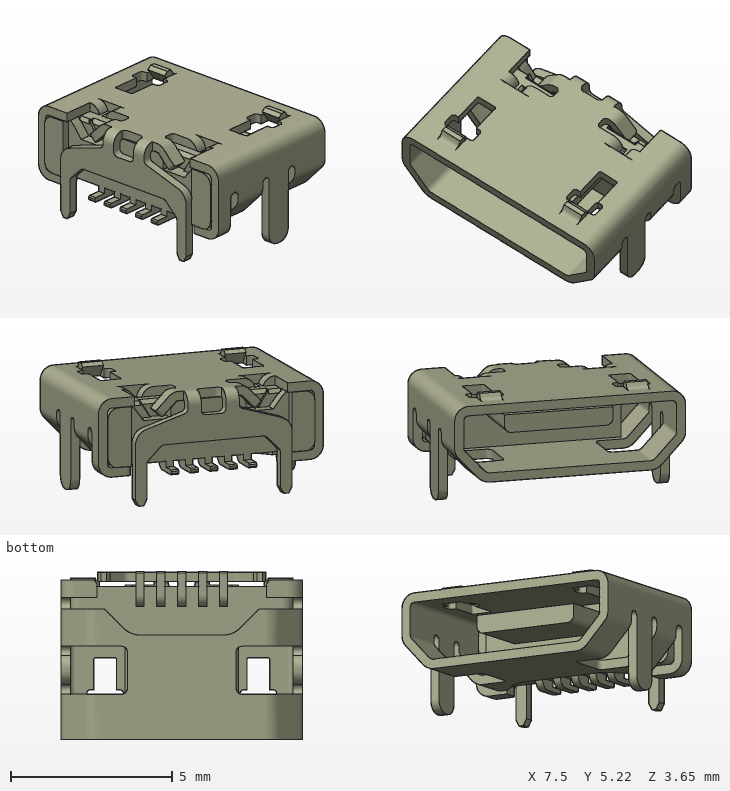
import cadquery as cq
import math


sheet = 0.3
shell_half_width = 3.75
shell_length = 4.96
shell_top = 3.45
bend_radius = 0.45
body_bottom = 0.975
slant_side_z = 1.94
slant_bottom_x = 2.83
slant_bottom_radius = 0.54
rear_band_bottom = 0.945
rear_band_length = 0.555
rear_band_gap_half = 2.63
rear_band_end_radius = 0.165
inner_half_width = shell_half_width - sheet
inner_top = shell_top - sheet

slot_top = 2.4
rear_slot_end = 0.91
leg_opening_start = 2.06
leg_opening_end = 3.55
leg_opening_inner_x = 1.69
leg_opening_top = 2.21
leg_opening_radius = 0.18
side_leg_start = 2.355
side_leg_end = 3.25
side_leg_tip_radius = 0.39

notch_half_width = 2.4
notch_floor_half_width = 1.59
bottom_notch_radius = 0.75

latch_x = 2.38
latch_width = 0.7
window_start = 2.42
window_wide_start = 3.42
window_wide_end = 3.9
window_wide_width = 1.125
window_radius = 0.1
window_stem_radius = 0.045
latch_hinge_y = 4.49
lip_angle = math.radians(53)
lip_bend_radius = 0.22
lip_root_y = 4.245
lip_crest_y = 4.08
lip_tip_y = 3.945
lip_tip_z = 3.55
part_top = 3.65

cutout_outer_x = 2.56
flap_window_inner_x = 1.49
flap_window_end = 1.46
flap_window_start = 1.065
flap_radius = 0.41
spring_slot_start = 0.66
spring_slot_inner_x = 0.885
spring_slot_radius = 0.11
top_plate_rear = 0.16
spring_hinge_x = 1.04
spring_bend_radius = 0.41
spring_drop = 0.44
spring_corner_radius = 0.09

cover_rear = -0.24
bridge_outer_x = 0.855
bridge_inner_x = 0.41
cover_bend_radius = top_plate_rear - cover_rear
cover_bend_bottom = shell_top - cover_bend_radius
cover_slot_bottom = 2.73
top_notch_end = 0.27
notch_corner_radius = 0.165
cover_half_width = 2.61
cover_leg_inner_x = 2.23
cover_shoulder_x = bridge_outer_x
cover_shoulder_z = 2.86
cover_corner_z = 2.32
cover_shoulder_radius = 0.165
cover_corner_radius = 0.49
cover_arch_spring_z = 1.39
cover_arch_z = 1.89
cover_arch_half_width = cover_leg_inner_x - (cover_arch_z - cover_arch_spring_z)
cover_arch_radius = 0.225
cover_leg_tip_half = 0.08
cover_leg_taper = 0.2

housing_bottom = rear_band_bottom + sheet
housing_rear = 0.2
housing_front = 1.8
housing_core_half = 2.625
housing_radius = 0.33
pad_rear = -0.05
pad_inner_x = 2.68
tongue_half_width = 1.76
tongue_bottom = 2.2
tongue_top = 2.775
tongue_end = 3.75
tongue_radius = 0.225
recess_floor = 2.61
recess_end = 0.56
recess_deep_end = 0.66
bevel_bottom = 3.015
recess_outer_x = 2.61
recess_lip_x = 2.45
recess_lip_z = inner_top - (recess_outer_x - recess_lip_x)
recess_floor_outer_x = 2.15
recess_deep_outer_x = 2.14
recess_deep_floor_x = 1.79
recess_inner_x = 1.25
recess_inner_bevel = 0.21
flap_groove_outer_x = 2.055
flap_groove_floor_x = 1.965
flap_groove_inner_x = 1.875
flap_embed = 0.075
bevel_end = 0.64
bevel_deep_end = 0.77

contact_count = 5
contact_row = 2.595
contact_pitch = contact_row / (contact_count - 1)
contact_width = 0.255
contact_bottom = 0.91
contact_tail_top = 1.065
contact_tip_y = -0.26
contact_tip_chamfer = 0.045
contact_front_y = 0.83
contact_bend_radius = 0.33

overshoot = 0.075
pick_reach = 0.01
pick_length = 7.5


def block(x_range, y_range, z_range):
    """Axis-aligned box given by its limits."""
    limits = (x_range, y_range, z_range)
    size = [high - low for low, high in limits]
    return cq.Workplane("XY").box(*size, centered=False).translate([low for low, high in limits])


def prism_along_x(points, x_start, x_end):
    """Prism with a (Y, Z) outline."""
    return cq.Workplane("YZ", origin=(x_start, 0, 0)).polyline(points).close().extrude(x_end - x_start)


def prism_along_y(points, y_start, y_end):
    """Prism with an (X, Z) outline."""
    return cq.Workplane("XZ", origin=(0, y_start, 0)).polyline(points).close().extrude(y_start - y_end)


def both_sides(solid):
    """The solid together with its mirror image across X = 0."""
    return solid.union(solid.mirror("YZ"))


def left_and_mirrored(points):
    """Closed symmetric outline from the points of its left half."""
    return points + [(-x, z) for x, z in reversed(points)]


def round_vertical_edge(solid, x, y, radius):
    """Round the edges parallel to Z that stand at (x, y)."""
    picker = cq.selectors.BoxSelector(
        (x - pick_reach, y - pick_reach, -pick_length), (x + pick_reach, y + pick_reach, pick_length)
    )
    return solid.edges("|Z").edges(picker).fillet(radius)


def round_profile_edges(solid, x, z, radius):
    """Round the mirrored pair of edges parallel to Y that run through (x, z) and (-x, z)."""
    for side in (x, -x):
        picker = cq.selectors.BoxSelector(
            (side - pick_reach, -pick_length, z - pick_reach),
            (side + pick_reach, pick_length, z + pick_reach),
        )
        solid = solid.edges("|Y").edges(picker).fillet(radius)
    return solid


def sheet_tube(left_corners, y_start, y_end):
    """Open-ended sheet-metal tube; the left corners are given as (X, Z, outer bend radius)."""
    left_points = [(x, z) for x, z, radius in left_corners]
    tube = prism_along_y(left_and_mirrored(left_points), y_start, y_end)
    for x, z, radius in left_corners:
        tube = round_profile_edges(tube, x, z, radius)
    return tube.faces("<Y or >Y").shell(-sheet)


def arched_slot(y_start, y_end):
    """Cutter for a round-topped slot through the left side wall and everything below it."""
    radius = (y_end - y_start) / 2
    x_range = (-shell_half_width - overshoot, -inner_half_width + overshoot)
    cutter = block(x_range, (y_start, y_end), (0, slot_top - radius))
    arch = (
        cq.Workplane("YZ", origin=(x_range[0], 0, 0))
        .center(y_start + radius, slot_top - radius)
        .circle(radius)
        .extrude(x_range[1] - x_range[0])
    )
    return cutter.union(arch)


def shell_body():
    """Tube with slanted lower corners, and a square-cornered band at the rear."""
    body = sheet_tube(
        [
            (-slant_bottom_x, body_bottom, slant_bottom_radius),
            (-shell_half_width, slant_side_z, bend_radius),
            (-shell_half_width, shell_top, bend_radius),
        ],
        rear_band_length,
        shell_length,
    )
    gap_to_floor = block(
        (-inner_half_width, inner_half_width), (rear_band_length, rear_slot_end), (0, slot_top)
    )
    body = body.cut(gap_to_floor)

    band = sheet_tube(
        [
            (-shell_half_width, rear_band_bottom, bend_radius),
            (-shell_half_width, shell_top, bend_radius),
        ],
        0,
        rear_band_length,
    )
    gap = block((-rear_band_gap_half, rear_band_gap_half), (0, rear_band_length), (0, housing_bottom))
    band = band.cut(gap)
    for side in (-rear_band_gap_half, rear_band_gap_half):
        band = round_vertical_edge(band, side, 0, rear_band_end_radius)
    return body.cut(both_sides(arched_slot(rear_band_length, rear_slot_end))).union(band)


def bottom_notch():
    """Cutter for the tapered notch in the rear edge of the bottom plate."""
    depth = notch_half_width - notch_floor_half_width
    floor_y = rear_slot_end + depth
    outline = [
        (-notch_half_width, rear_slot_end),
        (-notch_floor_half_width, floor_y),
        (notch_floor_half_width, floor_y),
        (notch_half_width, rear_slot_end),
    ]
    cutter = cq.Workplane("XY").polyline(outline).close().extrude(body_bottom + sheet)
    for side in (-notch_floor_half_width, notch_floor_half_width):
        cutter = round_vertical_edge(cutter, side, floor_y, bottom_notch_radius)
    return cutter


def side_leg_opening():
    """Cutter for the sheet area that the left side leg is folded from."""
    opening = block(
        (-shell_half_width - overshoot, -leg_opening_inner_x),
        (leg_opening_start, leg_opening_end),
        (0, leg_opening_top),
    )
    opening = opening.edges("|Z and >X").fillet(leg_opening_radius)
    for y_start, y_end in ((leg_opening_start, side_leg_start), (side_leg_end, leg_opening_end)):
        opening = opening.union(arched_slot(y_start, y_end))
    return opening


def side_leg():
    """Left through-hole leg, flush with the side wall."""
    leg = block(
        (-shell_half_width, -inner_half_width), (side_leg_start, side_leg_end), (0, slot_top)
    )
    return leg.edges("|X and <Z").fillet(side_leg_tip_radius)


def latch_window():
    """Cutter for the stepped window and lip slot in the left of the top plate."""
    heights = (inner_top - overshoot, shell_top + overshoot)
    stem = block(
        (-latch_x - latch_width / 2, -latch_x + latch_width / 2), (window_start, latch_hinge_y), heights
    )
    stem = stem.edges("|Z and <Y").fillet(window_stem_radius)
    head = block(
        (-latch_x - window_wide_width / 2, -latch_x + window_wide_width / 2),
        (window_wide_start, window_wide_end),
        heights,
    )
    return stem.union(head.edges("|Z").fillet(window_radius))


def latch_lip():
    """Lip bent upwards out of the left latch window."""
    lip_root_end = latch_hinge_y + overshoot

    def on_bend(angle):
        rise = lip_bend_radius * (1 - math.cos(angle))
        return (latch_hinge_y - lip_bend_radius * math.sin(angle), shell_top + rise)

    return (
        cq.Workplane("YZ", origin=(-latch_x - latch_width / 2, 0, 0))
        .moveTo(lip_root_end, shell_top)
        .lineTo(latch_hinge_y, shell_top)
        .threePointArc(on_bend(lip_angle / 2), on_bend(lip_angle))
        .lineTo(lip_root_y, part_top)
        .lineTo(lip_crest_y, part_top)
        .lineTo(lip_tip_y, lip_tip_z)
        .lineTo(lip_root_y, inner_top)
        .lineTo(lip_root_end, inner_top)
        .close()
        .extrude(latch_width)
    )


def rear_cutout():
    """Cutter for the left rear opening of the top plate, leaving room for the flaps and the spring."""
    heights = (inner_top, shell_top + overshoot)
    flap_window = block(
        (-cutout_outer_x, -flap_window_inner_x), (flap_window_start, flap_window_end), heights
    )
    spring_slot = block(
        (-cutout_outer_x, -spring_slot_inner_x), (spring_slot_start, flap_window_start), heights
    )
    spring_slot = spring_slot.edges("|Z and >X").fillet(spring_slot_radius)
    spring_bay = block((-cutout_outer_x, -spring_hinge_x), (0, spring_slot_start), heights)
    rear_strip = block((-cutout_outer_x, 0), (0, top_plate_rear), heights)
    return flap_window.union(spring_slot).union(spring_bay).union(rear_strip)


def curled_flaps():
    """Two flaps curling down from the X ends of the left flap window."""
    flaps = block(
        (-cutout_outer_x, -flap_window_inner_x),
        (flap_window_start, flap_window_end),
        (inner_top - flap_embed, shell_top),
    )
    rolls = cq.Workplane("XZ", origin=(0, flap_window_start, 0)).pushPoints(
        [(x, shell_top - flap_radius) for x in (-cutout_outer_x, -flap_window_inner_x)]
    )
    return flaps.intersect(rolls.circle(flap_radius).extrude(flap_window_start - flap_window_end))


def spring_tab():
    """Left spring tab: a 45 degree bend towards -X followed by a straight arm."""
    half_turn = math.radians(22.5)
    turn = 2 * half_turn
    inner_radius = spring_bend_radius - sheet
    center_z = shell_top - spring_bend_radius

    def on_bend(radius, angle):
        return (-spring_hinge_x - radius * math.sin(angle), center_z + radius * math.cos(angle))

    outer_x, outer_z = on_bend(spring_bend_radius, turn)
    inner_x, inner_z = on_bend(inner_radius, turn)
    tab = (
        cq.Workplane("XZ", origin=(0, top_plate_rear, 0))
        .moveTo(-spring_hinge_x, shell_top)
        .threePointArc(on_bend(spring_bend_radius, half_turn), (outer_x, outer_z))
        .lineTo(outer_x - spring_drop, outer_z - spring_drop)
        .lineTo(inner_x - spring_drop, inner_z - spring_drop)
        .lineTo(inner_x, inner_z)
        .threePointArc(on_bend(inner_radius, half_turn), (-spring_hinge_x, inner_top))
        .close()
        .extrude(top_plate_rear - spring_slot_start)
    )
    return tab.faces("<X").edges("not |Y").fillet(spring_corner_radius)


def top_notch():
    """Cutter for the shallow notch between the two bridges."""
    notch = block(
        (-bridge_inner_x, bridge_inner_x), (0, top_notch_end), (inner_top, shell_top + overshoot)
    )
    return notch.edges("|Z and >Y").fillet(notch_corner_radius)


def cover_bridge():
    """Left bridge: a quarter bend from the top plate down to the cover plate."""
    center_z = cover_bend_bottom
    half_turn = math.radians(45)
    inner_radius = cover_bend_radius - sheet

    def on_bend(radius):
        return (top_plate_rear - radius * math.sin(half_turn), center_z + radius * math.cos(half_turn))

    return (
        cq.Workplane("YZ", origin=(-bridge_outer_x, 0, 0))
        .moveTo(top_plate_rear, shell_top)
        .threePointArc(on_bend(cover_bend_radius), (cover_rear, center_z))
        .lineTo(cover_rear + sheet, center_z)
        .threePointArc(on_bend(inner_radius), (top_plate_rear, inner_top))
        .close()
        .extrude(bridge_outer_x - bridge_inner_x)
    )


def cover_plate():
    """Vertical rear plate with sloping shoulders, two pointed legs and an arch between them."""
    leg_center = (cover_half_width + cover_leg_inner_x) / 2
    outline = left_and_mirrored([
        (-cover_arch_half_width, cover_arch_z),
        (-cover_leg_inner_x, cover_arch_spring_z),
        (-cover_leg_inner_x, cover_leg_taper),
        (-leg_center + cover_leg_tip_half, 0),
        (-leg_center - cover_leg_tip_half, 0),
        (-cover_half_width, cover_leg_taper),
        (-cover_half_width, cover_corner_z),
        (-cover_shoulder_x, cover_shoulder_z),
        (-bridge_outer_x, cover_bend_bottom),
    ])
    plate = prism_along_y(outline, cover_rear, cover_rear + sheet)
    plate = round_profile_edges(plate, cover_half_width, cover_corner_z, cover_corner_radius)
    plate = round_profile_edges(plate, cover_shoulder_x, cover_shoulder_z, cover_shoulder_radius)
    plate = round_profile_edges(plate, cover_arch_half_width, cover_arch_z, cover_arch_radius)
    plate = round_profile_edges(plate, cover_leg_inner_x, cover_arch_spring_z, cover_arch_radius)
    slot = block(
        (-bridge_inner_x, bridge_inner_x),
        (cover_rear, cover_rear + sheet),
        (cover_slot_bottom, shell_top),
    )
    return plate.cut(slot.edges("|Y and <Z").fillet(notch_corner_radius))


def shell():
    """Complete folded shell."""
    body = shell_body()
    body = body.cut(bottom_notch())
    body = body.cut(top_notch())
    for cutter in (side_leg_opening(), latch_window(), rear_cutout()):
        body = body.cut(both_sides(cutter))
    for detail in (side_leg(), latch_lip(), curled_flaps(), spring_tab(), cover_bridge()):
        body = body.union(both_sides(detail))
    return body.union(cover_plate())


def spring_recess():
    """Cutter for the stepped, bevelled recess below the left spring tab."""
    right_side = [
        (-recess_inner_x, recess_floor),
        (-recess_inner_x, inner_top - recess_inner_bevel),
        (-recess_inner_x + recess_inner_bevel, inner_top),
    ]
    shallow = prism_along_y(
        [
            (-recess_outer_x, inner_top),
            (-recess_lip_x, recess_lip_z),
            (-recess_floor_outer_x, recess_floor),
        ] + right_side,
        housing_rear,
        recess_end,
    )
    deep = prism_along_y(
        [(-recess_deep_outer_x, inner_top), (-recess_deep_floor_x, recess_floor)] + right_side,
        housing_rear,
        recess_deep_end,
    )
    shallow_bevel = prism_along_x(
        [(recess_end, bevel_bottom), (bevel_end, inner_top), (recess_end, inner_top)],
        -cutout_outer_x,
        -recess_deep_outer_x,
    )
    deep_bevel = prism_along_x(
        [(recess_deep_end, bevel_bottom), (bevel_deep_end, inner_top), (recess_deep_end, inner_top)],
        -recess_deep_outer_x,
        -spring_hinge_x,
    )
    return shallow.union(deep).union(shallow_bevel).union(deep_bevel)


def flap_groove():
    """Cutter for the groove in the housing top beside the inner curled flap on the left."""
    groove_bottom = inner_top - flap_embed
    outline = [
        (-flap_groove_outer_x, inner_top),
        (-flap_groove_floor_x, groove_bottom),
        (-flap_groove_inner_x, groove_bottom),
        (-flap_groove_inner_x, inner_top),
    ]
    return prism_along_y(outline, flap_window_start, flap_window_end)


def housing():
    """Moulded block with rear pads at both ends and the contact tongue reaching forwards."""
    body = block(
        (-inner_half_width, inner_half_width),
        (pad_rear, rear_slot_end),
        (housing_bottom, inner_top),
    )
    body = body.edges("|Y").fillet(housing_radius)
    core = block(
        (-housing_core_half, housing_core_half), (rear_slot_end, housing_front), (housing_bottom, inner_top)
    )
    body = body.union(core)
    body = body.cut(
        block((-pad_inner_x, pad_inner_x), (pad_rear, housing_rear), (housing_bottom, inner_top))
    )
    tongue = block(
        (-tongue_half_width, tongue_half_width), (housing_front, tongue_end), (tongue_bottom, tongue_top)
    )
    tongue = tongue.edges("|Y and <Z").fillet(tongue_radius)
    for cutter in (spring_recess(), flap_groove()):
        body = body.cut(both_sides(cutter))
    return body.union(tongue)


def contact():
    """One contact: a leg below the housing with a flat solder tail running to the rear."""
    half_width = contact_width / 2
    leg = block(
        (-half_width, half_width), (housing_rear, contact_front_y), (contact_bottom, housing_bottom)
    )
    leg = leg.edges("|X and >Y and <Z").fillet(contact_bend_radius)
    tail = block(
        (-half_width, half_width), (contact_tip_y, housing_rear), (contact_bottom, contact_tail_top)
    )
    return leg.union(tail.edges("|X and <Y").chamfer(contact_tip_chamfer))


result = shell().union(housing())
for index in range(contact_count):
    contact_x = index * contact_pitch - contact_row / 2
    result = result.union(contact().translate((contact_x, 0, 0)))